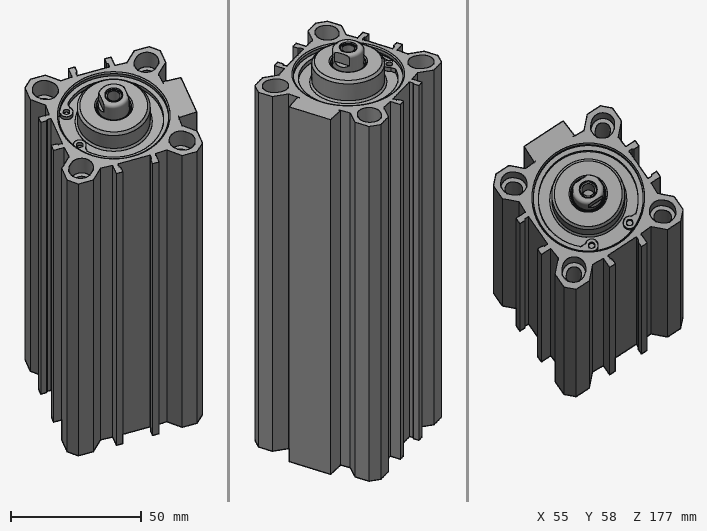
import cadquery as cq
import math

TOTAL_HEIGHT = 177.0
SIDE = 55.0

BODY_HEIGHT = 164.6
WALL_SIDE = 46.4
POST_CHAMFER = 3.4
POST_INNER = 18.0
RIB_OUTER = 8.7
RIB_STEM = 2.1
RIB_LIP = 2.7
LIP_DEPTH = 2.3
NECK_RELIEF = 0.27
RIB_ROOT = 1.8
DEPTH = 58.0
PORT_BASE_WIDTH = 18.8
PORT_TOP_WIDTH = 18.0

BOLT_OFFSET = 20.5
BOLT_STRETCH = 1.0
BOLT_HOLE = 5.7
BOLT_COUNTERBORE = 9.0
BOLT_COUNTERBORE_DEPTH = 8.8

BORE = 42.1
BORE_CHAMFER = 0.5
RING_GROOVE = 44.8
RING_INNER = 38.2
RING_DEPTH = 2.0
RING_THICKNESS = 1.8
COVER_THICKNESS = 14.2
COLLAR = 28.0
COLLAR_TOP = 170.5
COLLAR_CHAMFER = 1.0
FOOT = 29.5
ROD_RECESS_FLOOR = 12.5
ROD_RECESS = 13.6
ROD_RECESS_MOUTH = 14.7
ROD_RECESS_DEPTH = 1.8

LUG = 5.0
LUG_HOLE = 2.5
LUG_RADIUS = 18.4
LUG_HALF_ANGLE = 27.7
RING_TURN = 2.2
LUG_EDGE_Y = -14.5

ROD = 12.0
ROD_ROUND = 1.2
ACROSS_FLATS = 10.1
FLAT_LENGTH = 4.6
TAP_HOLE = 5.0
TAP_RELIEF = 6.2
TAP_RELIEF_DEPTH = 0.7
TAP_MOUTH = 6.9
TAP_DEPTH = 10.6
DRILL_POINT_ANGLE = 160.0

QUARTER_TURNS = (0, 90, 180, 270)
RIBBED_WALLS = (0, 180, 270)

HALF = SIDE / 2
WALL = WALL_SIDE / 2
PORT_TOP = DEPTH - HALF
NECK_OUT = WALL - NECK_RELIEF
NECK_ALONG = POST_INNER - (HALF - NECK_OUT)
RING_TOP = BODY_HEIGHT - RING_DEPTH
COVER_TOP = RING_TOP - RING_THICKNESS
COVER_BOTTOM = COVER_TOP - COVER_THICKNESS


def cylinder(diameter, bottom, top):
    return cq.Workplane("XY").workplane(offset=bottom).circle(diameter / 2).extrude(top - bottom)


def cone(bottom_diameter, top_diameter, bottom, top):
    profile = [(0, bottom), (bottom_diameter / 2, bottom), (top_diameter / 2, top), (0, top)]
    return cq.Workplane("XZ").polyline(profile).close().revolve(360, (0, 0, 0), (0, 1, 0))


def prism(points, bottom, top):
    return cq.Workplane("XY").workplane(offset=bottom).polyline(points).close().extrude(top - bottom)


def turned(shape, angle):
    return shape.rotate((0, 0, 0), (0, 0, 1), angle)


def corner_post():
    points = [
        (NECK_ALONG, NECK_ALONG),
        (NECK_ALONG, NECK_OUT),
        (POST_INNER, HALF),
        (HALF - POST_CHAMFER, HALF),
        (HALF, HALF - POST_CHAMFER),
        (HALF, POST_INNER),
        (NECK_OUT, NECK_ALONG),
    ]
    return prism(points, 0, BODY_HEIGHT)


def core():
    """Square barrel whose walls slope slightly inward from the ribs to the corner posts."""
    wall_line = [(NECK_OUT, -NECK_ALONG), (WALL, -RIB_OUTER), (WALL, RIB_OUTER), (NECK_OUT, NECK_ALONG)]
    points = []
    for out_x, out_y in ((1, 0), (0, 1), (-1, 0), (0, -1)):
        for out, along in wall_line:
            points.append((out * out_x - along * out_y, out * out_y + along * out_x))
    return prism(points, 0, BODY_HEIGHT)


def hooked_rib():
    """Rib on the +X wall, on the +Y side, with its lip turned to the centre plane."""
    stem_inner = RIB_OUTER - RIB_STEM
    lip_inner = RIB_OUTER - RIB_LIP
    lip_start = HALF - LIP_DEPTH
    points = [
        (WALL - RIB_ROOT, RIB_OUTER),
        (HALF, RIB_OUTER),
        (HALF, lip_inner),
        (lip_start, lip_inner),
        (lip_start - (stem_inner - lip_inner), stem_inner),
        (WALL - RIB_ROOT, stem_inner),
    ]
    return prism(points, 0, BODY_HEIGHT)


def bolt_slot(diameter, bottom, top):
    """Slot in the +X +Y post, stretched along the diagonal."""
    return (
        cq.Workplane("XY").workplane(offset=bottom)
        .center(BOLT_OFFSET, BOLT_OFFSET)
        .slot2D(diameter + BOLT_STRETCH, diameter, 45).extrude(top - bottom)
    )


def bolt_hole():
    counterbore = bolt_slot(BOLT_COUNTERBORE, BODY_HEIGHT - BOLT_COUNTERBORE_DEPTH, BODY_HEIGHT)
    return bolt_slot(BOLT_HOLE, 0, BODY_HEIGHT).union(counterbore)


def port_rail():
    base = PORT_BASE_WIDTH / 2
    tip = PORT_TOP_WIDTH / 2
    points = [(-base, WALL), (base, WALL), (tip, PORT_TOP), (-tip, PORT_TOP)]
    return prism(points, 0, BODY_HEIGHT)


def make_housing():
    body = core()
    for angle in QUARTER_TURNS:
        body = body.union(turned(corner_post(), angle))

    rib_pair = hooked_rib().union(hooked_rib().mirror("XZ"))
    for angle in RIBBED_WALLS:
        body = body.union(turned(rib_pair, angle))

    body = body.union(port_rail())

    for angle in QUARTER_TURNS:
        body = body.cut(turned(bolt_hole(), angle))

    body = body.cut(cylinder(BORE, COVER_BOTTOM, BODY_HEIGHT))
    body = body.cut(cylinder(RING_GROOVE, COVER_TOP, RING_TOP))
    return body.cut(cone(BORE, BORE + 2 * BORE_CHAMFER, BODY_HEIGHT - BORE_CHAMFER, BODY_HEIGHT))


def make_cover():
    foot_height = (FOOT - COLLAR) / 2
    collar = cylinder(COLLAR, COVER_TOP, COLLAR_TOP).faces(">Z").edges().chamfer(COLLAR_CHAMFER)
    cover = cylinder(BORE, COVER_BOTTOM, COVER_TOP).union(collar)
    cover = cover.union(cone(FOOT, COLLAR, COVER_TOP, COVER_TOP + foot_height))
    cover = cover.cut(cylinder(ROD, COVER_BOTTOM, COLLAR_TOP))
    cover = cover.cut(cone(ROD_RECESS_FLOOR, ROD_RECESS, COLLAR_TOP - ROD_RECESS_DEPTH, COLLAR_TOP))
    mouth_depth = (ROD_RECESS_MOUTH - ROD_RECESS) / 2
    return cover.cut(cone(ROD_RECESS, ROD_RECESS_MOUTH, COLLAR_TOP - mouth_depth, COLLAR_TOP))


def make_ring():
    ring = cylinder(RING_GROOVE, COVER_TOP, RING_TOP).cut(cylinder(RING_INNER, COVER_TOP, RING_TOP))

    def lug_point(side):
        angle = math.radians(-90 + side * LUG_HALF_ANGLE)
        return (LUG_RADIUS * math.cos(angle), LUG_RADIUS * math.sin(angle))

    lugs = [lug_point(-1), lug_point(1)]

    land = (
        cq.Workplane("XY").workplane(offset=COVER_TOP)
        .center(0, LUG_EDGE_Y - HALF).rect(SIDE, SIDE).extrude(RING_THICKNESS)
        .intersect(cylinder(BORE, COVER_TOP, RING_TOP))
    )
    ring = ring.union(land)

    gap_width = 2 * LUG_RADIUS * math.sin(math.radians(LUG_HALF_ANGLE))
    gap = (
        cq.Workplane("XY").workplane(offset=COVER_TOP)
        .center(0, -HALF / 2).rect(gap_width, HALF).extrude(RING_THICKNESS)
    )
    ring = ring.cut(gap)

    def lug_cylinders(diameter):
        return (
            cq.Workplane("XY").workplane(offset=COVER_TOP)
            .pushPoints(lugs).circle(diameter / 2).extrude(RING_THICKNESS)
        )
    ring = ring.union(lug_cylinders(LUG)).cut(lug_cylinders(LUG_HOLE))
    return turned(ring, -RING_TURN)


def make_rod():
    rod = cylinder(ROD, COVER_BOTTOM, TOTAL_HEIGHT).faces(">Z").edges().fillet(ROD_ROUND)

    flat = ACROSS_FLATS / 2
    flat_bottom = TOTAL_HEIGHT - FLAT_LENGTH
    slope = ROD / 2 - flat
    for side in (-1, 1):
        wedge = [
            (side * flat, TOTAL_HEIGHT),
            (side * flat, flat_bottom),
            (side * (flat + 2 * slope), flat_bottom - 2 * slope),
            (side * (flat + 2 * slope), TOTAL_HEIGHT),
        ]
        rod = rod.cut(cq.Workplane("YZ").polyline(wedge).close().extrude(ROD / 2, both=True))

    tap_bottom = TOTAL_HEIGHT - TAP_DEPTH
    point = TAP_HOLE / 2 / math.tan(math.radians(DRILL_POINT_ANGLE / 2))
    mouth = (TAP_MOUTH - TAP_RELIEF) / 2
    profile = [
        (0, tap_bottom - point),
        (TAP_HOLE / 2, tap_bottom),
        (TAP_HOLE / 2, TOTAL_HEIGHT - TAP_RELIEF_DEPTH),
        (TAP_RELIEF / 2, TOTAL_HEIGHT - TAP_RELIEF_DEPTH),
        (TAP_RELIEF / 2, TOTAL_HEIGHT - mouth),
        (TAP_MOUTH / 2, TOTAL_HEIGHT),
        (0, TOTAL_HEIGHT),
    ]
    return rod.cut(cq.Workplane("XZ").polyline(profile).close().revolve(360, (0, 0, 0), (0, 1, 0)))


housing = make_housing()
cover = make_cover()
ring = make_ring()
rod = make_rod()

result = cq.Compound.makeCompound([housing.val(), cover.val(), ring.val(), rod.val()])